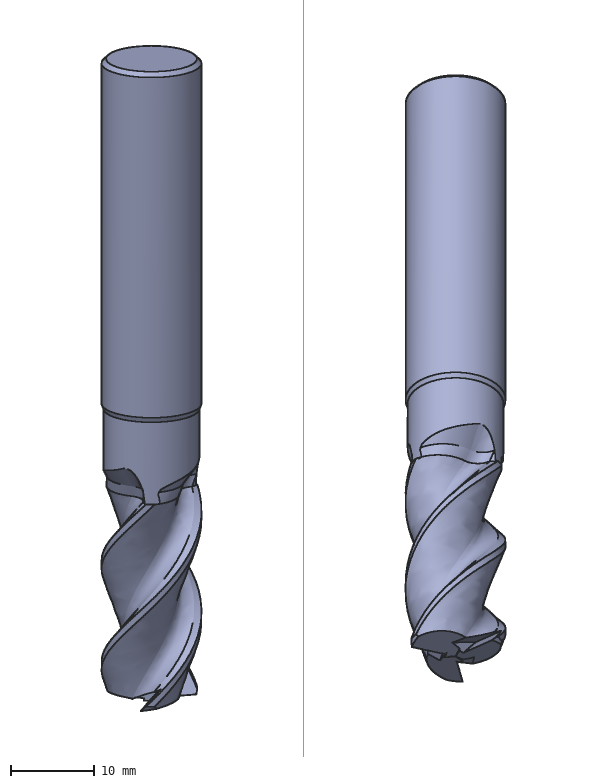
import cadquery as cq
import math

total_length = 80.0
shank_radius = 6.0
shank_top_chamfer = 0.6

neck_radius = 5.8
neck_top_z = 36.2
neck_step_height = 0.6

tooth_count = 3
tooth_angle = 360.0 / tooth_count
head_length = 26.0
cutting_radius = shank_radius
helix_lead = 37.9
head_twist = 360.0 * head_length / helix_lead
first_edge_angle = 180.0
land_angle = 10.0
back_radius = 4.6
back_angle = 45.0
flute_floor_radius = 3.4
flute_floor_angle = 83.0
flute_curve_radius = 3.9
flute_curve_angle = 110.0
rake_radius = 5.1
rake_angle = 115.0

tip_chamfer_width = 0.4
tip_chamfer_height = 0.7
gash_height = 2.7
gash_lean = 2.3
gash_width = 2.9
gash_inner_radius = 1.2
end_relief_slope = 0.2
cutter_margin = 0.8

runout_lower_rise = 1.4
runout_lower_reach = 0.6
runout_lower_direction = 130.0
runout_upper_rise = 3.4
runout_upper_reach = 2.4
runout_upper_direction = 94.0


def polar(radius, angle):
    return radius * math.cos(math.radians(angle)), radius * math.sin(math.radians(angle))


def add_flute_curve(outline, edge_angle):
    """Draw from the land's rear end along the tooth back and flute to the next edge."""
    return (
        outline
        .threePointArc(polar(back_radius, edge_angle + back_angle),
                       polar(flute_floor_radius, edge_angle + flute_floor_angle))
        .threePointArc(polar(flute_curve_radius, edge_angle + flute_curve_angle),
                       polar(rake_radius, edge_angle + rake_angle))
        .lineTo(*polar(cutting_radius, edge_angle + tooth_angle))
    )


def tip_section():
    """Closed cross-section of all the teeth at the tip."""
    section = cq.Workplane("XY").moveTo(*polar(cutting_radius, first_edge_angle))
    for index in range(tooth_count):
        edge_angle = first_edge_angle + index * tooth_angle
        land_middle = polar(cutting_radius, edge_angle + land_angle / 2)
        land_end = polar(cutting_radius, edge_angle + land_angle)
        section = section.threePointArc(land_middle, land_end)
        section = add_flute_curve(section, edge_angle)
    return section.close()


def make_tip_envelope():
    """Cylinder around the head with the corner chamfer at the tip."""
    outer = cutting_radius + cutter_margin
    chamfer_radius = cutting_radius - tip_chamfer_width
    return (
        cq.Workplane("XZ")
        .polyline([(0, 0), (chamfer_radius, 0), (cutting_radius, tip_chamfer_height),
                   (outer, tip_chamfer_height), (outer, head_length), (0, head_length)])
        .close()
        .revolve(360, (0, 0), (0, 1))
    )


def make_gash(edge_angle):
    """Wedge that opens the end of a flute in front of its cutting edge."""
    return (
        cq.Workplane("YZ", origin=(gash_inner_radius, 0, 0))
        .polyline([(0, 0), (gash_lean, gash_height), (-gash_width, 0)])
        .close()
        .extrude(cutting_radius + cutter_margin - gash_inner_radius)
        .rotate((0, 0, 0), (0, 0, 1), edge_angle)
    )


def make_end_relief(edge_angle):
    """Shallow wedge that raises the end face behind its cutting edge."""
    reach = cutting_radius + cutter_margin
    return (
        cq.Workplane("YZ")
        .polyline([(0, 0), (reach, 0), (reach, reach * end_relief_slope)])
        .close()
        .extrude(reach)
        .rotate((0, 0, 0), (0, 0, 1), edge_angle)
    )


def make_cutting_head():
    head = tip_section().twistExtrude(head_length, head_twist)
    head = head.intersect(make_tip_envelope())
    for index in range(tooth_count):
        edge_angle = first_edge_angle + index * tooth_angle
        head = head.cut(make_gash(edge_angle)).cut(make_end_relief(edge_angle))
    return head


def make_shank_blank():
    """Turned shank, step and neck before the flutes run out into it."""
    return (
        cq.Workplane("XZ")
        .polyline([(0, head_length), (neck_radius, head_length), (neck_radius, neck_top_z),
                   (shank_radius, neck_top_z + neck_step_height),
                   (shank_radius, total_length - shank_top_chamfer),
                   (shank_radius - shank_top_chamfer, total_length), (0, total_length)])
        .close()
        .revolve(360, (0, 0), (0, 1))
    )


def flute_gap_face(edge_angle):
    """Gap behind one tooth at the top of the head, open past the neck surface."""
    start = edge_angle + land_angle
    end = edge_angle + tooth_angle
    outer = cutting_radius + runout_upper_reach
    outline = cq.Workplane("XY", origin=(0, 0, head_length)).moveTo(*polar(outer, start))
    outline = outline.lineTo(*polar(cutting_radius, start))
    outline = add_flute_curve(outline, edge_angle).lineTo(*polar(outer, end))
    outline = outline.threePointArc(polar(outer, (start + end) / 2), polar(outer, start)).close()
    return cq.Face.makeFromWires(outline.wire().val())


def make_runout(edge_angle):
    """Flute gap that leans along the helix, then turns out through the neck's side."""
    gap = flute_gap_face(edge_angle)
    lower_x, lower_y = polar(runout_lower_reach, edge_angle + runout_lower_direction)
    upper_x, upper_y = polar(runout_upper_reach, edge_angle + runout_upper_direction)
    lower_path = cq.Vector(lower_x, lower_y, runout_lower_rise)
    upper_path = cq.Vector(upper_x, upper_y, runout_upper_rise)
    lower = cq.Solid.extrudeLinear(gap, lower_path)
    upper = cq.Solid.extrudeLinear(gap.translate(lower_path), upper_path)
    return lower, upper


def make_shank():
    shank = make_shank_blank()
    for index in range(tooth_count):
        edge_angle = first_edge_angle + head_twist + index * tooth_angle
        lower, upper = make_runout(edge_angle)
        shank = shank.cut(cq.Workplane(lower)).cut(cq.Workplane(upper))
    return shank


shank = make_shank()
cutting_head = make_cutting_head()

result = cq.Compound.makeCompound([*shank.solids().vals(), *cutting_head.solids().vals()])